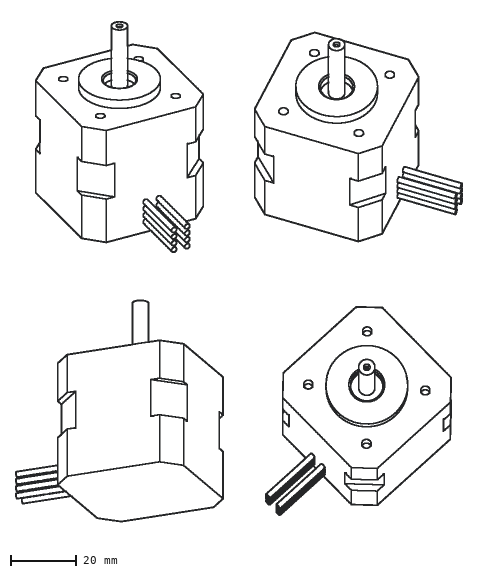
import cadquery as cq

body_width = 42.0
body_height = 40.0
corner_chamfer = 5.6

notch_chamfer = 8.5
notch_bottom = 15.5
notch_height = 12.0

boss_diameter = 25.1
boss_height = 3.0
recess_diameter = 10.0
recess_depth = boss_height
recess_chamfer = 0.5

shaft_diameter = 5.0
shaft_length = 19.0
centre_hole_diameter = 1.0
centre_hole_depth = 2.0
countersink_diameter = 2.0
countersink_depth = (countersink_diameter - centre_hole_diameter) / 2

mount_hole_diameter = 2.85
mount_hole_depth = 4.0
mount_spacing_x = 24.8
mount_spacing_y = 26.0

wire_diameter = 1.75
wire_length = 19.0
wire_column_y = (-1.8, 2.75)
wires_per_column = 4
lowest_wire_z = 3.78
wire_pitch_z = 2.36

boss_top = body_height + boss_height
shaft_top = boss_top + shaft_length


def chamfered_block(chamfer, bottom, height):
    """Square prism of the body width with its four vertical edges chamfered."""
    block = cq.Workplane("XY", origin=(0, 0, bottom)).rect(body_width, body_width).extrude(height)
    return block.edges("|Z").chamfer(chamfer)


def cylinder(diameter, bottom, height):
    """Cylinder on the Z axis."""
    return cq.Workplane("XY", origin=(0, 0, bottom)).circle(diameter / 2).extrude(height)


def make_body():
    """Three stacked blocks, the middle one with deeper corner chamfers."""
    notch_top = notch_bottom + notch_height
    lower = chamfered_block(corner_chamfer, 0, notch_bottom)
    middle = chamfered_block(notch_chamfer, notch_bottom, notch_height)
    upper = chamfered_block(corner_chamfer, notch_top, body_height - notch_top)
    return lower.union(middle).union(upper)


def make_boss_recess():
    """Blind recess in the boss with a chamfered mouth."""
    mouth = (
        cq.Workplane("XY", origin=(0, 0, boss_top))
        .circle(recess_diameter / 2 + recess_chamfer)
        .workplane(offset=-recess_chamfer)
        .circle(recess_diameter / 2)
        .loft(ruled=True)
    )
    return cylinder(recess_diameter, boss_top - recess_depth, recess_depth).union(mouth)


def make_shaft():
    """Shaft rising from the recess floor, with a centre hole in its end."""
    bottom = boss_top - recess_depth
    return (
        cylinder(shaft_diameter, bottom, shaft_top - bottom)
        .faces(">Z")
        .workplane()
        .circle(countersink_diameter / 2)
        .workplane(offset=-countersink_depth)
        .circle(centre_hole_diameter / 2)
        .loft(ruled=True, combine="cut")
        .cut(cylinder(centre_hole_diameter, shaft_top - centre_hole_depth, centre_hole_depth))
    )


def make_mount_holes():
    """Four blind holes reaching down from the top face."""
    return (
        cq.Workplane("XY", origin=(0, 0, body_height))
        .rect(mount_spacing_x, mount_spacing_y, forConstruction=True)
        .vertices()
        .circle(mount_hole_diameter / 2)
        .extrude(-mount_hole_depth)
    )


def make_wires():
    """Straight round wires starting on the +X face."""
    centres = [
        (y, lowest_wire_z + row * wire_pitch_z)
        for y in wire_column_y
        for row in range(wires_per_column)
    ]
    return (
        cq.Workplane("YZ", origin=(body_width / 2, 0, 0))
        .pushPoints(centres)
        .circle(wire_diameter / 2)
        .extrude(wire_length)
    )


result = (
    make_body()
    .union(cylinder(boss_diameter, body_height, boss_height))
    .cut(make_boss_recess())
    .cut(make_mount_holes())
    .union(make_shaft())
    .union(make_wires())
)